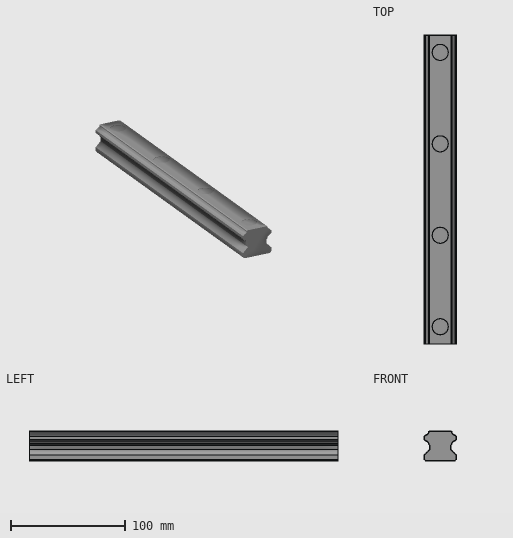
import cadquery as cq

length = 270.0
width = 28.0
height = 26.0
half_width = width / 2

head_half_width = 10.3
bevel_width = 0.95
bevel_height = 0.4

wing_middle = height - 6.0
wing_flat_half_height = 1.27
wing_chamfer = 1.22
wing_slope_half_height = wing_flat_half_height + wing_chamfer
wing_root_half_height = 4.5
groove_radius = 3.8
groove_lip = half_width - wing_chamfer

neck_half_width = 9.2
neck_bottom = 10.0
neck_top = 13.5
neck_step_height = 1.0

foot_top = neck_bottom - (half_width - neck_half_width)
bottom_chamfer = 1.4

cap_count = 4
cap_spacing = 80.0
cap_diameter = 14.0
cap_recess = 0.3


def half_rail():
    """The +X half of the rail, extruded along Y from a section closed on the centre plane."""
    section = (
        cq.Workplane("XZ")
        .moveTo(0, 0)
        .lineTo(half_width - bottom_chamfer, 0)
        .lineTo(half_width, bottom_chamfer)
        .lineTo(half_width, foot_top)
        .lineTo(neck_half_width, neck_bottom)
        .lineTo(neck_half_width, neck_top)
        .lineTo(head_half_width, neck_top + neck_step_height)
        .lineTo(head_half_width, wing_middle - wing_root_half_height)
        .radiusArc((groove_lip, wing_middle - wing_slope_half_height), groove_radius)
        .lineTo(half_width, wing_middle - wing_flat_half_height)
        .lineTo(half_width, wing_middle + wing_flat_half_height)
        .lineTo(groove_lip, wing_middle + wing_slope_half_height)
        .radiusArc((head_half_width, wing_middle + wing_root_half_height), groove_radius)
        .lineTo(head_half_width, height - bevel_height)
        .lineTo(head_half_width - bevel_width, height)
        .lineTo(0, height)
        .close()
    )
    return section.extrude(length / 2, both=True)


def rail_body():
    """Full rail: one half joined to its mirror image."""
    half = half_rail()
    return half.union(half.mirror("YZ"))


def cap_recesses():
    """Shallow round recesses in the top face, evenly spaced about the middle of the rail."""
    return (
        cq.Workplane("XY")
        .workplane(offset=height - cap_recess)
        .rarray(2.7, cap_spacing, 1, cap_count)
        .circle(cap_diameter / 2)
        .extrude(cap_recess)
    )


result = rail_body().cut(cap_recesses())